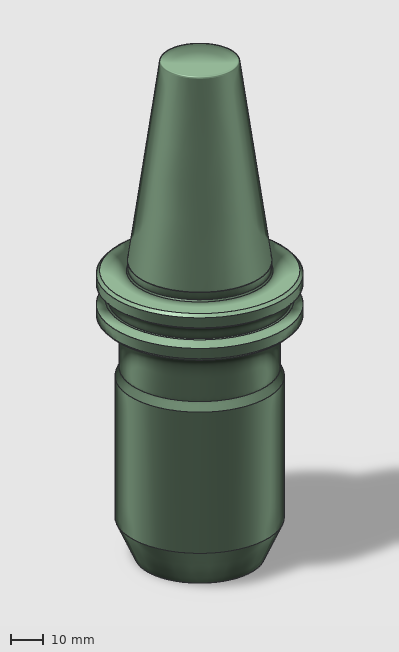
import cadquery as cq
import math


gauge_diameter = 44.45
taper_length = 68.4
taper_ratio = 7 / 24
shank_end_fillet = 0.8

collar_diameter = 44.0
collar_top_chamfer = 0.25
collar_root_chamfer = 0.5

flange_diameter = 63.5
flange_top_z = -3.2
flange_bottom_z = -19.1
flange_chamfer = 1.0
groove_diameter = 56.25
groove_mouth_width = 7.0
groove_floor_width = 3.8
groove_center_z = -11.1
groove_flank_angle = 30

neck_diameter = 49.5
neck_root_chamfer = 1.0
shoulder_top_z = -36.0
shoulder_height = 3.0
body_diameter = 52.0
nose_diameter = 40.0
nose_length = 13.0
nose_end_z = -100.0

gauge_radius = gauge_diameter / 2
shank_end_radius = gauge_radius - taper_length * taper_ratio / 2
collar_radius = collar_diameter / 2
flange_radius = flange_diameter / 2
groove_radius = groove_diameter / 2
neck_radius = neck_diameter / 2
body_radius = body_diameter / 2
nose_radius = nose_diameter / 2

groove_floor_half = groove_floor_width / 2
groove_mouth_half = groove_mouth_width / 2
groove_flank_height = groove_mouth_half - groove_floor_half
flank_root_radius = flange_radius - groove_flank_height / math.tan(math.radians(groove_flank_angle))


def shank_outline():
    """Taper shank and collar, from the top centre down to the flange."""
    return [
        (0, taper_length),
        (shank_end_radius, taper_length),
        (gauge_radius, 0),
        (collar_radius, -collar_top_chamfer),
        (collar_radius, flange_top_z + collar_root_chamfer),
        (collar_radius + collar_root_chamfer, flange_top_z),
    ]


def flange_outline():
    """Chamfered flange rim with the V-groove cut around it."""
    return [
        (flange_radius - flange_chamfer, flange_top_z),
        (flange_radius, flange_top_z - flange_chamfer),
        (flange_radius, groove_center_z + groove_mouth_half),
        (flank_root_radius, groove_center_z + groove_floor_half),
        (groove_radius, groove_center_z + groove_floor_half),
        (groove_radius, groove_center_z - groove_floor_half),
        (flank_root_radius, groove_center_z - groove_floor_half),
        (flange_radius, groove_center_z - groove_mouth_half),
        (flange_radius, flange_bottom_z + flange_chamfer),
        (flange_radius - flange_chamfer, flange_bottom_z),
    ]


def nose_outline():
    """Neck, conical shoulder, body and tapered nose, down to the bottom centre."""
    return [
        (neck_radius + neck_root_chamfer, flange_bottom_z),
        (neck_radius, flange_bottom_z - neck_root_chamfer),
        (neck_radius, shoulder_top_z),
        (body_radius, shoulder_top_z - shoulder_height),
        (body_radius, nose_end_z + nose_length),
        (nose_radius, nose_end_z),
        (0, nose_end_z),
    ]


profile = cq.Workplane("XZ").polyline(shank_outline() + flange_outline() + nose_outline()).close()
holder = profile.revolve(360, (0, 0, 0), (0, 1, 0))
result = holder.faces(">Z").edges().fillet(shank_end_fillet)